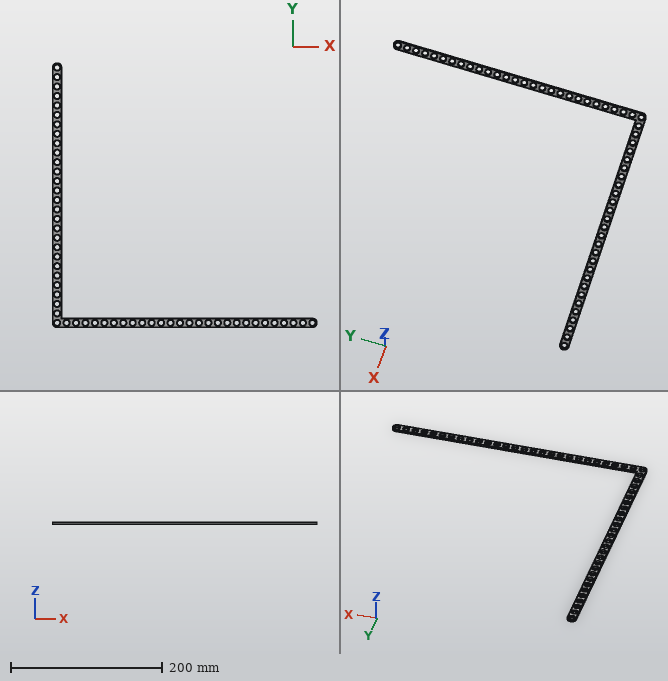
import cadquery as cq

pitch = 12.5
holes_per_arm = 28
thickness = pitch / 4
hole_diameter = 7.0
boss_diameter = 9.2
edge_chamfer = 0.3
recess_depth = 0.2

width = pitch
arm_span = (holes_per_arm - 1) * pitch
arm_length = arm_span + width
corner = -arm_span / 2
boss_wall = (boss_diameter - hole_diameter) / 2
rim_width = boss_wall


def arm(angle, inset, height):
    """Round-ended bar starting at the corner hole, with its outline moved in by inset."""
    return (
        cq.Workplane("XY")
        .center(arm_span / 2, 0)
        .slot2D(arm_length - 2 * inset, width - 2 * inset)
        .extrude(height)
        .rotate((0, 0, 0), (0, 0, 1), angle)
        .translate((corner, corner, 0))
    )


def angle_shape(inset, height):
    """Right-angle shape made of one arm along +X and one along +Y."""
    return arm(0, inset, height).union(arm(90, inset, height)).clean()


def angle_plate():
    """Solid plate with chamfered top and bottom outlines."""
    plate = angle_shape(0, thickness)
    return plate.faces("<Z or >Z").edges().chamfer(edge_chamfer)


def hole_centres():
    """Centres along both arms, with the shared corner hole listed once."""
    steps = [corner + i * pitch for i in range(holes_per_arm)]
    along_x = [(step, corner) for step in steps]
    along_y = [(corner, step) for step in steps[1:]]
    return along_x + along_y


def cylinders(diameter, height):
    """One upright cylinder at every hole centre."""
    return cq.Workplane("XY").pushPoints(hole_centres()).circle(diameter / 2).extrude(height)


def recess():
    """Shallow field inside the rim, leaving a round boss at every hole."""
    return angle_shape(rim_width, recess_depth).cut(cylinders(boss_diameter, recess_depth))


def cut_recesses(plate):
    """Sink the same field into the bottom and top faces."""
    field = recess()
    for floor in (0, thickness - recess_depth):
        plate = plate.cut(field.translate((0, 0, floor)))
    return plate


result = cut_recesses(angle_plate()).cut(cylinders(hole_diameter, thickness))